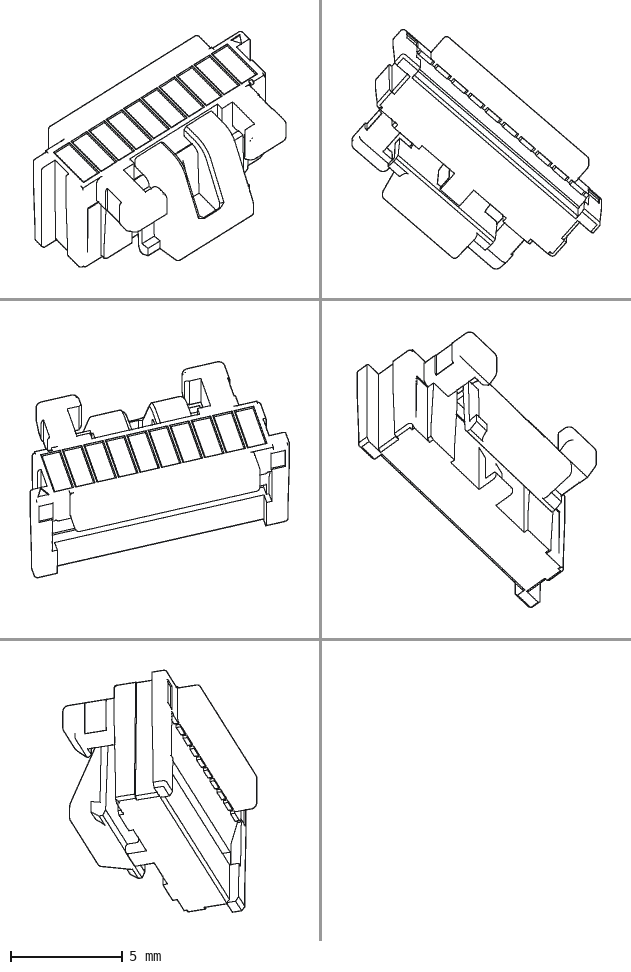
import cadquery as cq
import math

HEIGHT = 6.0
HEAD_Z = 4.23
STRAIGHT_Z = 1.0
FRONT_X = 1.04
BACK_X = 3.74
DRAFT = 0.05
EDGE_R = 0.15
TOP_R = 0.14
BOTTOM_CHAMFER = 0.14
JOIN_X = BACK_X - EDGE_R

BODY_HALF_Y = 5.19
COLUMN_BACK_X = 1.72
COLUMN_HALF_Y = 5.98
COLUMN_IN_Y = 4.89
COLUMN_CHAMFER_RISE = 0.22
RIB_FRONT_X = 2.7
RIB_HALF_Y = 5.34
LABEL_Y = (5.09, 5.75)
LABEL_Z = (4.36, 5.56)
ENGRAVE = 0.07
MARKER_X = (1.25, 1.71)
MARKER_Y = 5.49
MARKER_WIDTH = 0.51

LIP_HALF_Y = 4.3
LIP_R = 0.17
LIP_UNDER_R = 0.3

PANEL_X = 1.52
WINDOW_HALF_Y = 5.13
WINDOW_SILL_Z = 1.95
SLOPE_Z = 3.2
BROW_X = 1.22
GROOVE_HALF_Y = 5.0
GROOVE_TOP_Z = 2.66
GROOVE_DEPTH = 0.43
PAD_DROP = 0.08
PAD_X = (FRONT_X, BROW_X + PAD_DROP)
PAD_WIDTH = 0.86

CONTACTS = 10
PITCH = 1.0
POCKET_X = (1.33, 3.5)
POCKET_WIDTH = 0.91
POCKET_DEPTH = 0.06
POCKET_BEVEL = 0.05

ARM_END_X = 6.5
ARM_OUT_Y = 4.41
ARM_IN_Y = 3.12
ARM_R = 0.3
ROOT_X = 4.06
ROOT_Y = 2.51
HOOK_X = 5.65
HOOK_Y = 2.4
HOOK_CHAMFER = 0.18
HOOK_R = 0.29
ARM_CUT_X = 0.6
ARM_CUT_Z = 0.53
GRIP_X = (4.39, 5.4)
GRIP_Z = (4.31, 5.94)
GRIP_DEPTH = 0.11
RELIEF_WIDTH = 0.18
BUTTRESS_LOW_X = 3.91

LATCH_HALF_Y = 2.21
LATCH_TOP_Z = 5.81
LATCH_R = 1.02
BEND_X = 4.56
BRIDGE_THICKNESS = 0.6
BRIDGE_IN_R = 0.36
LEVER_IN_X = 4.77
LEVER_LOW_X = 4.88
LEVER_LOW_Z = 1.05
TIP_X = (5.01, 5.19)
TIP_Z = 0.78
LATCH_END_X = 6.85
LATCH_END_Z = (1.25, 2.09)
HEEL_R = 0.24
SHOULDER_R = 0.84
LATCH_SIDE_R = 0.17
SLOT_HALF_Y = 0.59
SLOT_END_X = 6.48
SLOT_FLOOR_Z = 2.12
SLOT_BEVEL = 0.14
WING_HALF_Y = 2.9
WING_X = (5.09, 5.57)
WING_STEP_X = 5.14
WING_TOP_Z = 4.78
WING_STEP_Z = (1.5, 1.59)

FOOT_HALF_Y = 0.57
FOOT_TIP_X = 4.68
FOOT_HEIGHT = 0.51
FOOT_TIP_R = 0.15
FOOT_INNER_R = 0.1
STEM_X = 4.06
STEM_Z = 2.17
STEM_RISE = 1.5


def box(x, y, z):
    """Box between pairs of X, Y and Z limits."""
    size = (x[1] - x[0], y[1] - y[0], z[1] - z[0])
    return cq.Workplane("XY").box(*size, centered=False).translate((x[0], y[0], z[0]))


def wide_box(x, half_y, z):
    """Box centred on Y."""
    return box(x, (-half_y, half_y), z)


def extrude_y(profile, half_y):
    """Extrude an XZ profile to both sides of the Y = 0 plane."""
    return profile.extrude(half_y, both=True)


def both_sides(solid):
    """Add the mirror image across the XZ plane."""
    return solid.union(solid.mirror("XZ"))


def post_section(x_flat, x_round, y_in, y_out, z):
    """Closed rectangle at height z with its (+X, +Y) corner rounded."""
    mid = EDGE_R * (1 - math.sqrt(0.5))
    return (
        cq.Workplane("XY").workplane(offset=z)
        .moveTo(x_flat, y_in).lineTo(x_flat, y_out).lineTo(x_round - EDGE_R, y_out)
        .threePointArc((x_round - mid, y_out - mid), (x_round, y_out - EDGE_R))
        .lineTo(x_round, y_in).close()
    )


def post(depth, y_in, y_out, chamfer_rise, chamfer_edges):
    """Post behind X = 0 with straight ends and a drafted middle, its foot chamfered."""
    high = (-depth, 0, y_in, y_out)
    low = (DRAFT - depth, -DRAFT, y_in, y_out - DRAFT)
    top = post_section(*high, HEAD_Z).extrude(HEIGHT - HEAD_Z)
    top = top.faces(">Z").edges(">Y").fillet(TOP_R)
    foot = post_section(*low, 0).extrude(STRAIGHT_Z)
    foot = foot.faces("<Z").edges(chamfer_edges).chamfer(chamfer_rise, BOTTOM_CHAMFER)
    upper_wire = post_section(*high, HEAD_Z).wire().val()
    lower_wire = post_section(*low, STRAIGHT_Z).wire().val()
    middle = cq.Workplane(cq.Solid.makeLoft([lower_wire, upper_wire], True))
    return top.union(middle).union(foot)


def front_rounding(y):
    """Cutter that rounds the top front edge of a column over a Y range."""
    corner = box((FRONT_X, FRONT_X + EDGE_R), y, (HEIGHT - EDGE_R, HEIGHT))
    rod = (
        cq.Workplane("XZ", origin=(FRONT_X + EDGE_R, y[0], HEIGHT - EDGE_R))
        .circle(EDGE_R).extrude(y[0] - y[1])
    )
    return corner.cut(rod)


def make_body():
    low_half_y = BODY_HALF_Y - DRAFT
    core = (
        cq.Workplane("YZ", origin=(PANEL_X, 0, 0)).moveTo(-low_half_y, 0).lineTo(low_half_y, 0)
        .lineTo(low_half_y, STRAIGHT_Z).lineTo(BODY_HALF_Y, HEAD_Z).lineTo(-BODY_HALF_Y, HEAD_Z)
        .lineTo(-low_half_y, STRAIGHT_Z).close().extrude(BACK_X - DRAFT - PANEL_X)
    )
    core = core.faces("<Z").edges("|X or <X").chamfer(BOTTOM_CHAMFER)
    head = wide_box((FRONT_X, BACK_X), BODY_HALF_Y, (HEAD_Z, HEIGHT))
    column = post(COLUMN_BACK_X - FRONT_X, COLUMN_IN_Y, COLUMN_HALF_Y, COLUMN_CHAMFER_RISE, ">Y or >X")
    column = column.mirror("YZ").translate((FRONT_X, 0, 0))
    rib = post(BACK_X - RIB_FRONT_X, COLUMN_IN_Y, RIB_HALF_Y, BOTTOM_CHAMFER, ">Y")
    rib = rib.translate((BACK_X, 0, 0))
    label = box((FRONT_X, FRONT_X + ENGRAVE), LABEL_Y, LABEL_Z)
    body = core.union(head).union(both_sides(column.union(rib)))
    body = body.cut(both_sides(label))
    body = body.cut(front_rounding((LIP_HALF_Y, COLUMN_HALF_Y)))
    return body.cut(front_rounding((-COLUMN_HALF_Y, -BODY_HALF_Y)))


def make_lip():
    lip = wide_box((0, FRONT_X + EDGE_R), LIP_HALF_Y, (HEAD_Z, HEIGHT))
    lip = lip.faces("<X").edges("<Z").fillet(LIP_UNDER_R)
    return lip.edges("(<X and |Z) or (<X and >Z) or (|X and >Z) or (|X and <Z)").fillet(LIP_R)


def make_window():
    profile = (
        cq.Workplane("XZ").moveTo(0, WINDOW_SILL_Z).lineTo(PANEL_X, WINDOW_SILL_Z)
        .lineTo(PANEL_X, HEAD_Z).lineTo(0, HEAD_Z).close()
    )
    groove = wide_box((PANEL_X, PANEL_X + GROOVE_DEPTH), GROOVE_HALF_Y, (WINDOW_SILL_Z, GROOVE_TOP_Z))
    return extrude_y(profile, WINDOW_HALF_Y).union(groove)


def make_brow():
    """Overhanging wedge that carries the back of the window out towards the lip."""
    profile = (
        cq.Workplane("XZ").moveTo(PANEL_X, SLOPE_Z).lineTo(PANEL_X, HEAD_Z)
        .lineTo(BROW_X, HEAD_Z).close()
    )
    return extrude_y(profile, WINDOW_HALF_Y)


def contact_row(part):
    """Copies of a part along Y, one at each contact."""
    row = cq.Workplane()
    for i in range(CONTACTS):
        row.add(part.translate((0, (i - (CONTACTS - 1) / 2) * PITCH, 0)))
    return row


def make_pads():
    half = PAD_WIDTH / 2
    pad = (
        cq.Workplane("YZ", origin=(PAD_X[0], 0, HEAD_Z))
        .polyline([(-half, 0), (PAD_DROP - half, -PAD_DROP), (half - PAD_DROP, -PAD_DROP), (half, 0)])
        .close().extrude(PAD_X[1] - PAD_X[0])
    )
    return contact_row(pad)


def make_pockets():
    half = POCKET_WIDTH / 2
    pocket = box(POCKET_X, (-half, half), (HEIGHT - POCKET_DEPTH, HEIGHT))
    return contact_row(pocket.faces("<Z").edges().chamfer(POCKET_BEVEL))


def make_arm():
    arm = box((JOIN_X, ARM_END_X), (ARM_IN_Y, ARM_OUT_Y), (HEAD_Z, HEIGHT))
    hook = box((HOOK_X, ARM_END_X), (HOOK_Y, ARM_OUT_Y), (HEAD_Z, HEIGHT))
    arm = arm.union(hook)
    under_cut = (
        cq.Workplane("XZ").moveTo(ARM_END_X - ARM_CUT_X, HEAD_Z).lineTo(ARM_END_X, HEAD_Z)
        .lineTo(ARM_END_X, HEAD_Z + ARM_CUT_Z).close().extrude(-HEIGHT)
    )
    arm = arm.cut(under_cut)
    arm = arm.edges("|Z").edges("<Y").edges("<X").chamfer(HOOK_CHAMFER)
    arm = arm.faces(">Y or >X").edges("not <X").fillet(ARM_R)
    arm = arm.faces("<Y").edges(">Z").fillet(HOOK_R)
    root = box((JOIN_X, ROOT_X), (ROOT_Y, ARM_OUT_Y - ARM_R), (HEAD_Z, HEIGHT))
    grip = box(GRIP_X, (ARM_OUT_Y - GRIP_DEPTH, ARM_OUT_Y), GRIP_Z)
    return arm.union(root).cut(grip)


def make_buttress():
    profile = (
        cq.Workplane("XZ", origin=(0, ROOT_Y, 0)).moveTo(JOIN_X, 0).lineTo(BUTTRESS_LOW_X, 0)
        .lineTo(BUTTRESS_LOW_X, STRAIGHT_Z).lineTo(ROOT_X, HEAD_Z).lineTo(JOIN_X, HEAD_Z).close()
    )
    buttress = profile.extrude(ROOT_Y - ARM_OUT_Y + ARM_R)
    return buttress.faces(">Y").edges("<Z").chamfer(BOTTOM_CHAMFER)


def make_wings():
    profile = (
        cq.Workplane("XZ").moveTo(LEVER_IN_X, WING_TOP_Z).lineTo(LEVER_IN_X, HEAD_Z)
        .lineTo(LEVER_LOW_X, LEVER_LOW_Z).lineTo(TIP_X[0], TIP_Z).lineTo(TIP_X[1], TIP_Z)
        .lineTo(WING_X[1], LEVER_LOW_Z).lineTo(WING_X[1], WING_STEP_Z[1])
        .lineTo(WING_STEP_X, WING_STEP_Z[0]).lineTo(WING_X[0], HEAD_Z)
        .lineTo(WING_X[0], WING_TOP_Z).close()
    )
    return extrude_y(profile, WING_HALF_Y)


def make_latch():
    bend_z = LATCH_TOP_Z - LATCH_R
    end_x = LATCH_END_X - BEND_X
    end_z = LATCH_END_Z[1] - bend_z
    reach = math.hypot(end_x, end_z)
    slope = math.atan2(end_z, end_x) + math.acos(LATCH_R / reach)

    def bend_point(angle):
        return (BEND_X + LATCH_R * math.cos(angle), bend_z + LATCH_R * math.sin(angle))

    under_z = LATCH_TOP_Z - BRIDGE_THICKNESS
    latch = extrude_y(
        cq.Workplane("XZ").moveTo(JOIN_X, LATCH_TOP_Z).lineTo(BEND_X, LATCH_TOP_Z)
        .threePointArc(bend_point((slope + math.pi / 2) / 2), bend_point(slope))
        .lineTo(LATCH_END_X, LATCH_END_Z[1]).lineTo(LATCH_END_X, LATCH_END_Z[0])
        .lineTo(TIP_X[1], TIP_Z).lineTo(TIP_X[0], TIP_Z)
        .lineTo(LEVER_LOW_X, LEVER_LOW_Z).lineTo(LEVER_IN_X, HEAD_Z)
        .lineTo(LEVER_IN_X, under_z - BRIDGE_IN_R)
        .tangentArcPoint((LEVER_IN_X - BRIDGE_IN_R, under_z), relative=False)
        .lineTo(JOIN_X, under_z).close(),
        LATCH_HALF_Y,
    )
    latch = latch.faces(">X").edges("<Z").fillet(HEEL_R)
    latch = latch.faces(">X").edges(">Z").fillet(SHOULDER_R)

    def is_outer(edge):
        centre = edge.Center()
        return centre.x > BACK_X and (centre.x > TIP_X[1] or centre.z > under_z + LATCH_SIDE_R)

    latch = latch.faces("<Y or >Y").edges().filter(is_outer).fillet(LATCH_SIDE_R)
    slot = wide_box((JOIN_X, SLOT_END_X), SLOT_HALF_Y, (SLOT_FLOOR_Z, HEIGHT))
    latch = latch.union(make_wings()).cut(slot)

    rim_z = LATCH_END_Z[1] + SLOT_BEVEL

    def is_slot_rim(edge):
        centre = edge.Center()
        return is_outer(edge) and abs(centre.y) < SLOT_HALF_Y + SLOT_BEVEL and centre.z > rim_z

    return latch.edges().filter(is_slot_rim).chamfer(SLOT_BEVEL)


def make_foot():
    profile = (
        cq.Workplane("XZ").moveTo(JOIN_X, 0).lineTo(FOOT_TIP_X, 0).lineTo(FOOT_TIP_X, FOOT_HEIGHT)
        .lineTo(STEM_X, FOOT_HEIGHT).lineTo(STEM_X, STEM_Z).lineTo(JOIN_X, STEM_Z + STEM_RISE).close()
    )
    foot = extrude_y(profile, FOOT_HALF_Y)
    foot = foot.faces(">X").edges("|Y").fillet(FOOT_TIP_R)
    corner = cq.selectors.NearestToPointSelector((STEM_X, 0, FOOT_HEIGHT))
    return foot.edges("|Y").edges(corner).fillet(FOOT_INNER_R)


def make_marker():
    half = MARKER_WIDTH / 2
    return (
        cq.Workplane("XY", origin=(0, MARKER_Y, HEIGHT - ENGRAVE))
        .polyline([(MARKER_X[0], -half), (MARKER_X[0], half), (MARKER_X[1], 0)])
        .close().extrude(ENGRAVE)
    )


def make_relief():
    """Small bevel in the top back edge of the body beside the +Y arm."""
    return (
        cq.Workplane("XZ", origin=(0, ARM_OUT_Y, 0)).moveTo(JOIN_X, HEIGHT)
        .lineTo(BACK_X, HEIGHT).lineTo(BACK_X, HEIGHT - EDGE_R).close().extrude(-RELIEF_WIDTH)
    )


result = make_body().union(make_lip()).cut(make_window())
result = result.union(make_brow()).union(make_pads())
result = result.cut(make_pockets()).cut(make_marker()).cut(make_relief())
result = result.union(both_sides(make_arm().union(make_buttress())))
result = result.union(make_latch()).union(make_foot())